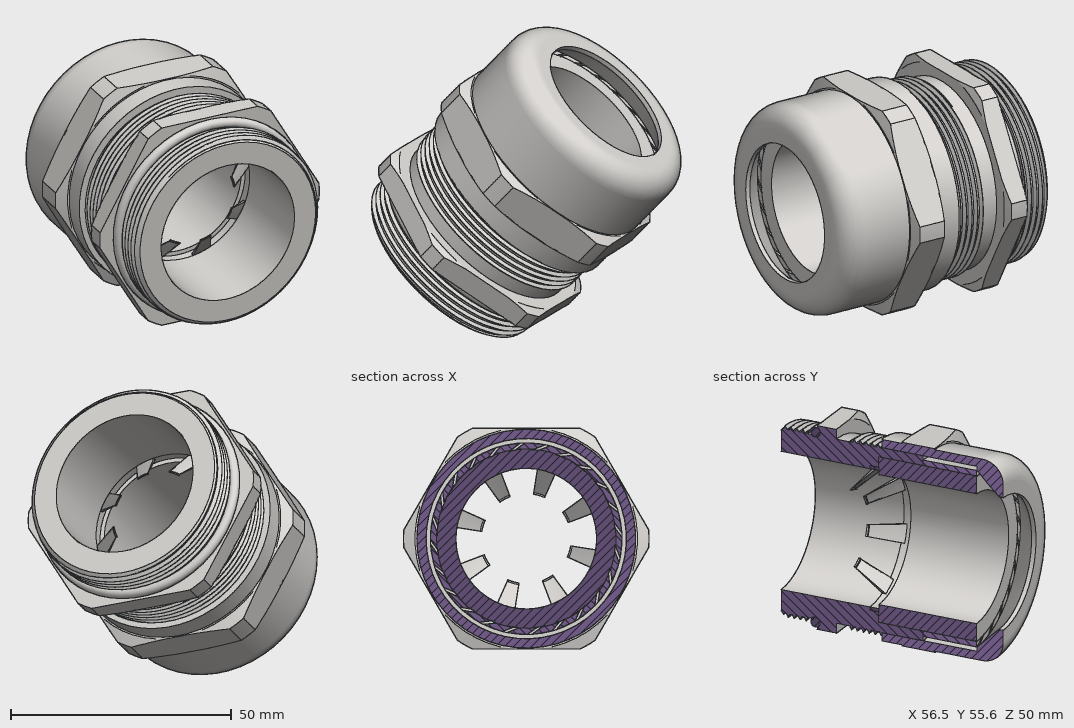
import cadquery as cq
import math

total_length = 56.45

cap_length = 30.9
cap_diameter = 49.6
cap_rounding = 5.35
mouth_diameter = 32.45
mouth_depth = 1.15

across_flats = 50.0
across_corners = 55.6
cap_hex_start = 17.4
cap_hex_end = 25.8
cap_hex_bevel_length = 0.9
cap_hex_bevel_diameter = 50.35
body_hex_start = 42.4
body_hex_end = 47.3
body_hex_bevel_length = 0.7
body_hex_bevel_diameter = 51.6

thread_major_diameter = 47.0
thread_root_diameter = 45.3
lead_turns = 5
lead_length = 7.5
thread_pitch = lead_length / lead_turns
thread_flank_angle = 30.0
thread_crest_width = 0.05
thread_sink = 0.15
cap_thread_end = 38.95
cap_thread_crest = 31.1
connection_thread_start = 49.7
connection_thread_crest = 50.2
end_bevel_length = 1.0
end_bevel_depth = 1.25

o_ring_diameter = 49.1
o_ring_section_diameter = 2.35
o_ring_middle = 47.8

insert_start = 6.8
insert_diameter = 43.4
slot_count = 24
slot_width = 0.55
slot_depth = 6.8
slot_slant = 59.0
slot_angle = 35.0
seal_diameter = 40.5
seal_bore_diameter = 31.8

body_start = 20.3
seal_seat_end = 31.6
body_bore_diameter = 33.8

spring_diameter = 35.4
spring_ring_length = 2.25
finger_count = 8
finger_angle = 16.6
finger_thickness = 0.45
finger_tip_radius = 10.15
finger_tip_flat = 0.4
finger_tip_width = 2.65
finger_taper = 7.7


def turned(points):
    """Solid of revolution about the X axis from (x, radius) points."""
    return cq.Workplane("XY").polyline(points).close().revolve(360, (0, 0, 0), (1, 0, 0))


def tube(start, end, outer_diameter, inner_diameter):
    """Plain tube along the X axis."""
    section = cq.Workplane("YZ", origin=(start, 0, 0)).circle(outer_diameter / 2)
    return section.circle(inner_diameter / 2).extrude(end - start)


def rod(start, end, diameter):
    """Plain cylinder along the X axis."""
    return cq.Workplane("YZ", origin=(start, 0, 0)).circle(diameter / 2).extrude(end - start)


def hexagon(start, end, front_bevel, rear_bevel, bevel_diameter):
    """Hexagon with flats on +Z and -Z, turned-down corners and bevelled ends."""
    sharp_corners = across_flats / math.cos(math.pi / 6)
    prism = cq.Workplane("YZ", origin=(start, 0, 0)).polygon(6, sharp_corners).extrude(end - start)
    corner_radius = across_corners / 2
    bevel_radius = bevel_diameter / 2
    outline = [(start, 0), (start, bevel_radius), (start + front_bevel, corner_radius)]
    if rear_bevel > 0:
        outline += [(end - rear_bevel, corner_radius), (end, bevel_radius), (end, 0)]
    else:
        outline += [(end, corner_radius), (end, 0)]
    return prism.intersect(turned(outline))


def thread_ridge(start, end, crest_at):
    """Right-handed helical ridge, cut flat at start and end; one crest passes crest_at on the -Z side."""
    root_radius = thread_root_diameter / 2
    major_radius = thread_major_diameter / 2
    base_radius = root_radius - thread_sink
    half_crest = thread_crest_width / 2
    half_base = half_crest + (major_radius - base_radius) * math.tan(math.radians(thread_flank_angle))
    helix_start = crest_at - thread_pitch * math.ceil((crest_at - start) / thread_pitch + 1)
    helix_length = end + thread_pitch - helix_start
    path = cq.Wire.makeHelix(thread_pitch, helix_length, root_radius)
    tooth = cq.Workplane("XZ").polyline([
        (base_radius, -half_base),
        (major_radius, -half_crest),
        (major_radius, half_crest),
        (base_radius, half_base),
    ]).close()
    ridge = tooth.sweep(cq.Workplane(path), isFrenet=True)
    ridge = ridge.rotate((0, 0, 0), (0, 1, 0), 90).translate((helix_start, 0, 0))
    space = tube(start, end, across_corners, thread_root_diameter - 4 * thread_sink)
    return ridge.intersect(space)


def make_cap():
    """Domed cap nut with a hexagon and a funnel-shaped cavity behind its mouth."""
    shell = rod(0, cap_length, cap_diameter).faces("<X").edges().fillet(cap_rounding)
    shell = shell.union(hexagon(
        cap_hex_start, cap_hex_end, cap_hex_bevel_length, cap_hex_bevel_length, cap_hex_bevel_diameter,
    ))
    mouth_radius = mouth_diameter / 2
    cavity = turned([
        (0, 0),
        (0, mouth_radius),
        (mouth_depth, mouth_radius),
        (insert_start, insert_diameter / 2),
        (insert_start, thread_root_diameter / 2),
        (cap_length, thread_root_diameter / 2),
        (cap_length, 0),
    ])
    return shell.cut(cavity)


def make_body(o_ring):
    """Gland body with a hexagon, two threads, a stepped bore and a bed for the O-ring."""
    body = rod(body_start, total_length, thread_root_diameter)
    body = body.union(hexagon(
        body_hex_start, body_hex_end, body_hex_bevel_length, 0, body_hex_bevel_diameter,
    ))
    body = body.union(thread_ridge(cap_length, cap_thread_end, cap_thread_crest))
    body = body.union(thread_ridge(connection_thread_start, total_length, connection_thread_crest))
    end_bevel = turned([
        (total_length - end_bevel_length, thread_major_diameter / 2),
        (total_length, thread_major_diameter / 2 - end_bevel_depth),
        (total_length, across_corners / 2),
        (total_length - end_bevel_length, across_corners / 2),
    ])
    body = body.cut(end_bevel)
    body = body.cut(o_ring)
    body = body.cut(rod(body_start, total_length, body_bore_diameter))
    body = body.cut(rod(body_start, seal_seat_end, seal_diameter))
    return body.cut(rod(seal_seat_end, seal_seat_end + spring_ring_length, spring_diameter))


def make_o_ring():
    """O-ring around the neck, bedded in the rear face of the body hexagon."""
    section_radius = o_ring_section_diameter / 2
    centre_radius = o_ring_diameter / 2 - section_radius
    centre = cq.Vector(o_ring_middle, 0, 0)
    torus = cq.Solid.makeTorus(centre_radius, section_radius, centre, cq.Vector(1, 0, 0))
    return cq.Workplane(torus)


def make_insert():
    """Clamping insert: a ring whose front is split into fingers by slanted slots."""
    ring = tube(insert_start, body_start, insert_diameter, seal_diameter)
    middle_radius = (insert_diameter + seal_diameter) / 4
    slot_length = (insert_diameter - seal_diameter) / math.cos(math.radians(slot_slant))
    slot = cq.Workplane("XY").box(2 * slot_depth, slot_length, slot_width)
    slot = slot.rotate((0, 0, 0), (1, 0, 0), slot_slant).translate((insert_start, middle_radius, 0))
    for index in range(slot_count):
        angle = index * 360 / slot_count - slot_angle
        ring = ring.cut(slot.rotate((0, 0, 0), (1, 0, 0), angle))
    return ring


def make_seal():
    """Plain sealing sleeve inside the insert and the seat of the body."""
    return tube(insert_start, seal_seat_end, seal_diameter, seal_bore_diameter)


def make_spring():
    """Contact spring: a ring with tapered fingers leaning inwards and towards +X."""
    ring_end = seal_seat_end + spring_ring_length
    ring = tube(seal_seat_end, ring_end, spring_diameter, body_bore_diameter)
    root_radius = body_bore_diameter / 2
    lean = root_radius - finger_tip_radius - finger_tip_flat
    root_x = ring_end - 2 * finger_thickness
    tip_x = root_x + lean
    cone = turned([
        (root_x, root_radius + finger_thickness),
        (root_x, root_radius),
        (tip_x, finger_tip_radius + finger_tip_flat),
        (tip_x, finger_tip_radius),
        (tip_x + finger_thickness, finger_tip_radius),
        (root_x + finger_thickness, root_radius + finger_thickness),
    ])
    half_tip = finger_tip_width / 2
    reach = root_radius + 2 * finger_thickness
    half_root = half_tip + (reach - finger_tip_radius) * math.tan(math.radians(finger_taper))
    inner_end = finger_tip_radius * math.cos(math.radians(finger_taper))
    wedge = cq.Workplane("YZ", origin=(root_x, 0, 0)).polyline([
        (inner_end, -half_tip),
        (reach, -half_root),
        (reach, half_root),
        (inner_end, half_tip),
    ]).close().extrude(lean + 2 * finger_thickness)
    finger = cone.intersect(wedge)
    for index in range(finger_count):
        angle = finger_angle + index * 360 / finger_count
        ring = ring.union(finger.rotate((0, 0, 0), (1, 0, 0), angle))
    return ring


cap = make_cap()
o_ring = make_o_ring()
body = make_body(o_ring)
insert = make_insert()
seal = make_seal()
spring = make_spring()

bodies = [cap, body, o_ring, insert, seal, spring]
result = cq.Compound.makeCompound([part.solids().val() for part in bodies])